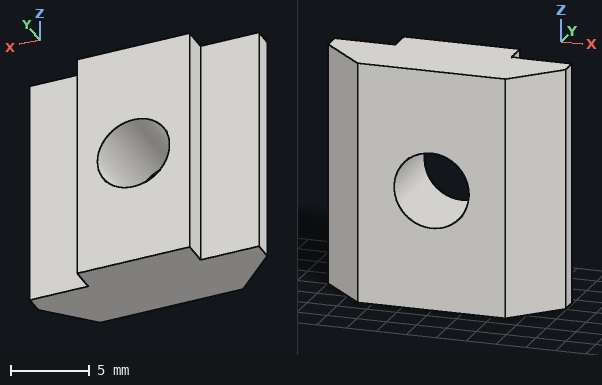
import cadquery as cq

width = 15.9
thickness = 6.0
length = 16.0

neck_width = 7.8
neck_height = 1.7
chamfer = 3.0

hole_diameter = 5.0

shoulder_y = thickness - neck_height


def nut_body():
    """T-shaped bar with bevelled front edges, extruded along Z."""
    half_width = width / 2
    half_front = half_width - chamfer
    half_neck = neck_width / 2
    return (
        cq.Workplane("XY")
        .moveTo(-half_front, 0)
        .lineTo(half_front, 0)
        .lineTo(half_width, chamfer)
        .lineTo(half_width, shoulder_y)
        .lineTo(half_neck, shoulder_y)
        .lineTo(half_neck, thickness)
        .lineTo(-half_neck, thickness)
        .lineTo(-half_neck, shoulder_y)
        .lineTo(-half_width, shoulder_y)
        .lineTo(-half_width, chamfer)
        .close()
        .extrude(length / 2, both=True)
    )


def through_hole():
    """Cylinder along Y, centred on the front face and crossing the full thickness."""
    return cq.Workplane("XZ").circle(hole_diameter / 2).extrude(-thickness)


result = nut_body().cut(through_hole())